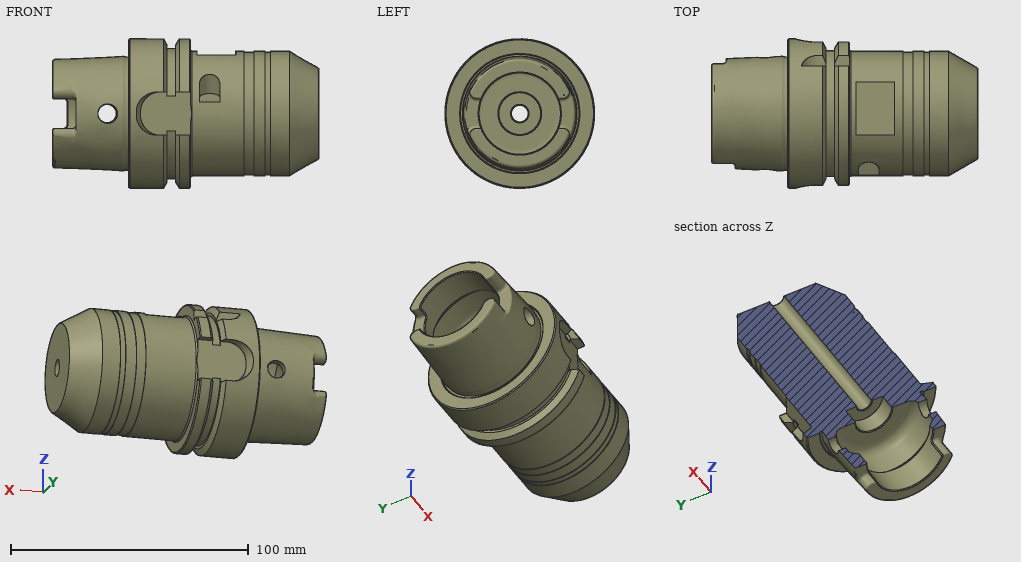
import cadquery as cq
import math


SHANK_LENGTH = 32.0
NOSE_END = 80.0

SHANK_END_RADIUS = 22.9
SHANK_ROOT_RADIUS = 24.15
SHANK_END_ROUNDING = 1.2
TAPER_END = -2.2
NECK_START = -1.2
NECK_RADIUS = 23.9

FLANGE_RADIUS = 31.5
FLANGE_WIDTH = 26.0
FLANGE_CHAMFER = 0.5
FACE_RECESS_RADIUS = 25.3
FACE_RECESS_DEPTH = 0.6
FACE_RECESS_CHAMFER = 0.4
GROOVE_RADIUS = 27.5
GROOVE_START = 16.2
GROOVE_END = 19.6
GROOVE_SHOULDER_RADIUS = 28.7
GROOVE_FRONT_CHAMFER = 1.5
GROOVE_BACK_CHAMFER = 1.7

BODY_RADIUS = 26.25
COLLAR_RADIUS = 26.8
COLLAR_WIDTH = 0.7
BODY_GROOVE_RADIUS = 25.9
BODY_GROOVES = ((48.6, 52.7), (57.4, 59.7))
NOSE_CONE_START = 67.6
NOSE_RADIUS = 19.4
NOSE_CHAMFER = 0.5

MOUTH_BORE_RADIUS = 17.1
MOUTH_BORE_DEPTH = 12.8
MOUTH_BORE_CHAMFER = 0.4
CAVITY_RADIUS = 20.2
CAVITY_DEPTH = 30.2
CAVITY_SHOULDER_ANGLE = 45.0
CAVITY_FLOOR_ROUNDING = 4.6
TUBE_BORE_RADIUS = 8.8
TUBE_BORE_DEPTH = 8.0
COOLANT_RADIUS = 3.5
INNER_CHAMFER = 0.4

DRIVE_SLOT_HALF_WIDTH = 6.2
DRIVE_SLOT_EDGE_RADIUS = 2.9
DRIVE_SLOT_TANGENT_RADIUS = 23.15
DRIVE_SLOT_END_RADIUS = 1.4
DRIVE_SLOT_MOUTH_ROUNDING = 0.7
DEEP_SLOT_LENGTH = 9.9
SHALLOW_SLOT_LENGTH = 6.0

NEAR_HOLE_X = -8.8
NEAR_HOLE_RADIUS = 4.1
FAR_HOLE_X = -9.1
FAR_HOLE_RADIUS = 3.85

KEYWAY_START = 3.2
KEYWAY_HALF_WIDTH = 9.1
KEYWAY_CORNER_RADIUS = 8.3
KEYWAY_END_LEAN = 1.8
KEYWAY_FLOOR = 26.5

NOTCH_WALL_Y = 20.1
NOTCH_FLOOR_Z = 19.8
NOTCH_FLOOR_START = 12.9
NOTCH_END_RADIUS = 8.0

FLAT_START = 28.8
FLAT_END = 45.0
FLAT_DISTANCE = 23.74
FLAT_TILT = 5.4

POCKET_X = 34.05
POCKET_RADIUS = 4.3
POCKET_TILT = 22.3
POCKET_FLOOR_Y = -21.1
POCKET_FLOOR_Z = 6.8

CLEAR = 10.0
EDGE_TOLERANCE = 0.01


def revolve(points):
    """Turn a closed outline of (X, radius) points about the X axis."""
    return cq.Workplane("XY").polyline(points).close().revolve(360, (0, 0, 0), (1, 0, 0))


def outer_body():
    shank_end = -SHANK_LENGTH
    flange_shoulder = FLANGE_RADIUS - FLANGE_CHAMFER
    outline = [
        (shank_end, 0),
        (shank_end, SHANK_END_RADIUS),
        (TAPER_END, SHANK_ROOT_RADIUS),
        (NECK_START, NECK_RADIUS),
        (FACE_RECESS_DEPTH, NECK_RADIUS),
        (FACE_RECESS_DEPTH, FACE_RECESS_RADIUS - FACE_RECESS_CHAMFER),
        (FACE_RECESS_DEPTH - FACE_RECESS_CHAMFER, FACE_RECESS_RADIUS),
        (0, FACE_RECESS_RADIUS),
        (0, flange_shoulder),
        (FLANGE_CHAMFER, FLANGE_RADIUS),
        (GROOVE_START - GROOVE_FRONT_CHAMFER, FLANGE_RADIUS),
        (GROOVE_START, GROOVE_SHOULDER_RADIUS),
        (GROOVE_START, GROOVE_RADIUS),
        (GROOVE_END, GROOVE_RADIUS),
        (GROOVE_END, GROOVE_SHOULDER_RADIUS),
        (GROOVE_END + GROOVE_BACK_CHAMFER, FLANGE_RADIUS),
        (FLANGE_WIDTH - FLANGE_CHAMFER, FLANGE_RADIUS),
        (FLANGE_WIDTH, flange_shoulder),
        (FLANGE_WIDTH, COLLAR_RADIUS),
        (FLANGE_WIDTH + COLLAR_WIDTH, BODY_RADIUS),
    ]
    for start, end in BODY_GROOVES:
        outline += [
            (start, BODY_RADIUS),
            (start, BODY_GROOVE_RADIUS),
            (end, BODY_GROOVE_RADIUS),
            (end, BODY_RADIUS),
        ]
    outline += [
        (NOSE_CONE_START, BODY_RADIUS),
        (NOSE_END - NOSE_CHAMFER, NOSE_RADIUS),
        (NOSE_END, NOSE_RADIUS - NOSE_CHAMFER),
        (NOSE_END, 0),
    ]
    return revolve(outline).faces("<X").edges().fillet(SHANK_END_ROUNDING)


def inner_bores():
    mouth = -SHANK_LENGTH
    shoulder = mouth + MOUTH_BORE_DEPTH
    shoulder_rise = CAVITY_RADIUS - MOUTH_BORE_RADIUS
    cavity_start = shoulder + shoulder_rise / math.tan(math.radians(CAVITY_SHOULDER_ANGLE))
    floor = mouth + CAVITY_DEPTH
    cavity = revolve([
        (mouth, 0),
        (mouth, MOUTH_BORE_RADIUS),
        (shoulder, MOUTH_BORE_RADIUS),
        (cavity_start, CAVITY_RADIUS),
        (floor, CAVITY_RADIUS),
        (floor, 0),
    ])
    cavity = cavity.faces(">X").edges().fillet(CAVITY_FLOOR_ROUNDING)
    tube_end = floor + TUBE_BORE_DEPTH
    passages = revolve([
        (floor, 0),
        (floor, TUBE_BORE_RADIUS + INNER_CHAMFER),
        (floor + INNER_CHAMFER, TUBE_BORE_RADIUS),
        (tube_end, TUBE_BORE_RADIUS),
        (tube_end, COOLANT_RADIUS + INNER_CHAMFER),
        (tube_end + INNER_CHAMFER, COOLANT_RADIUS),
        (NOSE_END, COOLANT_RADIUS),
        (NOSE_END, 0),
    ])
    return cavity.union(passages)


def lies_on_mouth_bore(edge):
    """True for the edges where the mouth bore breaks out at the shank end and drive slots."""
    deepest = -SHANK_LENGTH + DEEP_SLOT_LENGTH + EDGE_TOLERANCE
    for point in edge.positions((0, 0.25, 0.5, 0.75, 1)):
        if abs(math.hypot(point.y, point.z) - MOUTH_BORE_RADIUS) > EDGE_TOLERANCE:
            return False
        if point.x > deepest:
            return False
    return True


def chamfer_mouth(body):
    rim = [edge for edge in body.edges().vals() if lies_on_mouth_bore(edge)]
    return body.newObject(rim).chamfer(MOUTH_BORE_CHAMFER)


def round_slot_mouths(body):
    """Round the short edges where the drive slots break out through the shank end face."""
    end_edges = body.faces("<X").edges().vals()
    slot_edges = [edge for edge in end_edges if edge.Length() < SHANK_END_RADIUS]
    return body.newObject(slot_edges).fillet(DRIVE_SLOT_MOUTH_ROUNDING)


def drive_slot(length, side):
    """Slot in the shank end whose sides roll over tangentially into the outer surface."""
    center_z = DRIVE_SLOT_HALF_WIDTH + DRIVE_SLOT_EDGE_RADIUS
    center_distance = DRIVE_SLOT_TANGENT_RADIUS - DRIVE_SLOT_EDGE_RADIUS
    center_y = math.sqrt(center_distance**2 - center_z**2)
    angle = math.atan2(center_z, center_y)

    def on_edge(direction):
        y = center_y + DRIVE_SLOT_EDGE_RADIUS * math.cos(direction)
        z = center_z + DRIVE_SLOT_EDGE_RADIUS * math.sin(direction)
        return y, z

    bottom = on_edge(-math.pi / 2)
    middle = on_edge((angle - math.pi / 2) / 2)
    top = on_edge(angle)
    far = (top[0] - CLEAR * math.sin(angle), top[1] + CLEAR * math.cos(angle))
    outside = SHANK_ROOT_RADIUS + CLEAR

    def place(point, flip):
        return side * point[0], flip * point[1]

    slot = (
        cq.Workplane("YZ", origin=(-SHANK_LENGTH - CLEAR, 0, 0))
        .moveTo(0, -DRIVE_SLOT_HALF_WIDTH)
        .lineTo(*place(bottom, -1))
        .threePointArc(place(middle, -1), place(top, -1))
        .lineTo(*place(far, -1))
        .lineTo(side * outside, -far[1])
        .lineTo(side * outside, far[1])
        .lineTo(*place(far, 1))
        .lineTo(*place(top, 1))
        .threePointArc(place(middle, 1), place(bottom, 1))
        .lineTo(0, DRIVE_SLOT_HALF_WIDTH)
        .close()
        .extrude(length + CLEAR)
    )
    return slot.faces(">X").edges().fillet(DRIVE_SLOT_END_RADIUS)


def radial_hole(x, radius, side):
    """Hole from the axis out through the shank wall on the given Y side."""
    hole = cq.Workplane("XZ", origin=(x, 0, 0))
    return hole.circle(radius).extrude(-side * (SHANK_ROOT_RADIUS + CLEAR))


def keyway(side):
    """Round-cornered keyway whose closed end leans outward toward the shank."""
    end_x = FLANGE_WIDTH + COLLAR_WIDTH

    def outline(y, start):
        corner_x = start + KEYWAY_CORNER_RADIUS
        corner_z = KEYWAY_HALF_WIDTH - KEYWAY_CORNER_RADIUS
        diagonal = KEYWAY_CORNER_RADIUS * math.sqrt(0.5)
        return (
            cq.Workplane("XZ", origin=(0, side * y, 0))
            .moveTo(end_x, -KEYWAY_HALF_WIDTH)
            .lineTo(corner_x, -KEYWAY_HALF_WIDTH)
            .threePointArc((corner_x - diagonal, -corner_z - diagonal), (start, -corner_z))
            .lineTo(start, corner_z)
            .threePointArc((corner_x - diagonal, corner_z + diagonal), (corner_x, KEYWAY_HALF_WIDTH))
            .lineTo(end_x, KEYWAY_HALF_WIDTH)
            .close()
            .val()
        )

    inner = outline(KEYWAY_FLOOR, KEYWAY_START + KEYWAY_END_LEAN)
    outer = outline(FLANGE_RADIUS, KEYWAY_START)
    return cq.Workplane(cq.Solid.makeLoft([inner, outer], True))


def orientation_notch():
    """Side notch with a flat floor that curves up and out at its shank end."""
    diagonal = NOTCH_END_RADIUS * math.sqrt(0.5)
    center_z = NOTCH_FLOOR_Z + NOTCH_END_RADIUS
    end_x = FLANGE_WIDTH
    top_z = FLANGE_RADIUS + CLEAR
    return (
        cq.Workplane("XZ", origin=(0, NOTCH_WALL_Y, 0))
        .moveTo(end_x, NOTCH_FLOOR_Z)
        .lineTo(NOTCH_FLOOR_START, NOTCH_FLOOR_Z)
        .threePointArc(
            (NOTCH_FLOOR_START - diagonal, center_z - diagonal),
            (NOTCH_FLOOR_START - NOTCH_END_RADIUS, center_z),
        )
        .lineTo(NOTCH_FLOOR_START - NOTCH_END_RADIUS, top_z)
        .lineTo(end_x, top_z)
        .close()
        .extrude(-CLEAR - FLANGE_RADIUS)
    )


def top_flat():
    """Flat milled across the body, turned about the X axis toward +Y."""
    center_x = (FLAT_START + FLAT_END) / 2
    block = (
        cq.Workplane("XY", origin=(center_x, 0, FLAT_DISTANCE))
        .rect(FLAT_END - FLAT_START, 2 * BODY_RADIUS)
        .extrude(CLEAR)
    )
    return block.rotate((0, 0, 0), (1, 0, 0), -FLAT_TILT)


def screw_pocket():
    """Tilted counterbore that opens sideways through the body surface."""
    tilt = math.radians(POCKET_TILT)
    plane = cq.Plane(
        origin=(POCKET_X, POCKET_FLOOR_Y, POCKET_FLOOR_Z),
        xDir=(1, 0, 0),
        normal=(0, -math.sin(tilt), math.cos(tilt)),
    )
    height = BODY_RADIUS
    round_end = cq.Workplane(plane).circle(POCKET_RADIUS).extrude(height)
    mouth = cq.Workplane(plane).center(0, -CLEAR / 2).rect(2 * POCKET_RADIUS, CLEAR).extrude(height)
    return round_end.union(mouth)


shank_slots = drive_slot(DEEP_SLOT_LENGTH, -1).union(drive_slot(SHALLOW_SLOT_LENGTH, 1))
hollow_body = round_slot_mouths(chamfer_mouth(outer_body().cut(inner_bores()).cut(shank_slots)))

result = (
    hollow_body
    .cut(radial_hole(NEAR_HOLE_X, NEAR_HOLE_RADIUS, -1))
    .cut(radial_hole(FAR_HOLE_X, FAR_HOLE_RADIUS, 1))
    .cut(keyway(-1))
    .cut(keyway(1))
    .cut(orientation_notch())
    .cut(top_flat())
    .cut(screw_pocket())
)